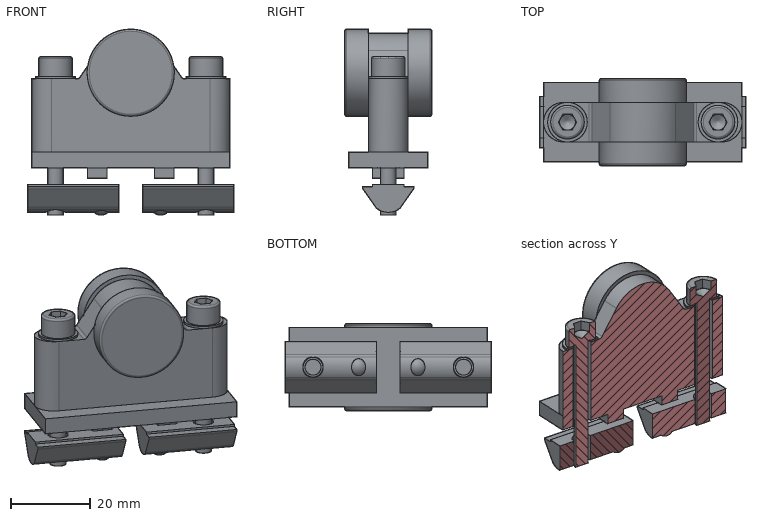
import cadquery as cq
import math


plate_length = 50.0
plate_width = 20.0
plate_thickness = 4.0
key_length = 5.0
key_width = 8.0
key_height = 2.6
key_inner_x = 6.0

block_width = 10.0
block_top_z = 22.5
hub_radius = 10.0
hub_center_z = 24.0
flank_angle = 34.0
flank_foot_fillet = 1.0
screw_hole_diameter = 5.5

disc_diameter = 22.0
disc_span = 22.0
disc_edge_fillet = 0.5

fastener_x = 19.0
washer_diameter = 10.0
washer_thickness = 0.5
washer_bore_diameter = 5.3
shank_diameter = 4.0
shank_tip_z = -11.9
head_diameter = 8.5
head_height = 5.05
head_edge_fillet = 0.5
socket_across_flats = 4.0
socket_depth = 2.5
drill_point_angle = 118.0

nut_outer_x = 26.0
nut_length = 23.0
nut_top_z = -4.15
nut_land_width = key_width
nut_land_height = 0.5
nut_width = 13.0
nut_lip_height = 0.45
nut_lip_fillet = 0.5
nut_keel_half_width = 2.95
nut_keel_radius = 5.0
nut_bottom_z = -11.2
nut_keel_fillet = 2.0
nut_bore_diameter = 5.0
ball_diameter = 5.0
ball_x = 7.5
ball_tip_z = shank_tip_z

washer_top_z = block_top_z + washer_thickness
head_top_z = washer_top_z + head_height
sides = (-1, 1)


def cylinder(diameter, bottom_z, top_z, x):
    """Vertical cylinder on the X axis line."""
    return cq.Workplane("XY", origin=(x, 0, bottom_z)).circle(diameter / 2).extrude(top_z - bottom_z)


def make_block():
    """Upright block: round-ended plan, flat shoulders and flanks tangent to the hub."""
    half_length = plate_length / 2
    angle = math.radians(flank_angle)
    shoulder_drop = hub_center_z - block_top_z
    foot_x = (hub_radius + shoulder_drop * math.sin(angle)) / math.cos(angle)
    tangent_x = hub_radius * math.cos(angle)
    tangent_z = hub_center_z + hub_radius * math.sin(angle)
    profile = (
        cq.Workplane("XZ", origin=(0, block_width / 2, 0))
        .moveTo(-half_length, 0)
        .lineTo(half_length, 0)
        .lineTo(half_length, block_top_z)
        .lineTo(foot_x, block_top_z)
        .lineTo(tangent_x, tangent_z)
        .threePointArc((0, hub_center_z + hub_radius), (-tangent_x, tangent_z))
        .lineTo(-foot_x, block_top_z)
        .lineTo(-half_length, block_top_z)
        .close()
        .extrude(block_width)
    )
    for side in sides:
        foot = cq.NearestToPointSelector((side * foot_x, 0, block_top_z))
        profile = profile.edges("|Y").edges(foot).fillet(flank_foot_fillet)
    plan = cq.Workplane("XY").slot2D(plate_length, block_width).extrude(hub_center_z + hub_radius)
    return profile.intersect(plan)


def make_discs():
    """Two discs as one full-width drum; its middle lies around the block and is cut away."""
    drum = (
        cq.Workplane("XZ", origin=(0, disc_span / 2, hub_center_z))
        .circle(disc_diameter / 2)
        .extrude(disc_span)
        .faces("<Y or >Y")
        .edges()
        .fillet(disc_edge_fillet)
    )
    gap = cq.Workplane("XY", origin=(0, 0, hub_center_z)).box(disc_diameter, block_width, disc_diameter)
    return drum.cut(gap)


def make_housing():
    """Base plate with keys, block and discs, bored for both screws."""
    housing = cq.Workplane("XY").rect(plate_length, plate_width).extrude(plate_thickness)
    key_x = key_inner_x + key_length / 2
    keys = (
        cq.Workplane("XY")
        .pushPoints([(side * key_x, 0) for side in sides])
        .rect(key_length, key_width)
        .extrude(-key_height)
    )
    housing = housing.union(keys).union(make_block()).union(make_discs())
    for side in sides:
        housing = housing.cut(cylinder(screw_hole_diameter, 0, block_top_z, side * fastener_x))
    return housing


def make_washer(side):
    """Flat washer on the block shoulder."""
    x = side * fastener_x
    washer = cylinder(washer_diameter, block_top_z, washer_top_z, x)
    return washer.cut(cylinder(washer_bore_diameter, block_top_z, washer_top_z, x))


def make_screw(side):
    """Cap screw with a hexagon socket that ends in a drill point."""
    x = side * fastener_x
    head = cylinder(head_diameter, washer_top_z, head_top_z, x).faces(">Z").edges().fillet(head_edge_fillet)
    socket_floor_z = head_top_z - socket_depth
    across_corners = socket_across_flats / math.cos(math.pi / 6)
    socket = cq.Workplane("XY", origin=(x, 0, socket_floor_z)).polygon(6, across_corners).extrude(socket_depth)
    point_radius = socket_across_flats / 2
    point_depth = point_radius / math.tan(math.radians(drill_point_angle / 2))
    drill_point = cq.Workplane(
        cq.Solid.makeCone(
            point_radius, 0, point_depth, pnt=cq.Vector(x, 0, socket_floor_z), dir=cq.Vector(0, 0, -1)
        )
    )
    shank = cylinder(shank_diameter, shank_tip_z, washer_top_z, x)
    return head.union(shank).cut(socket).cut(drill_point)


def make_nut(side):
    """Slot nut: stepped top, sloping sides, rounded keel and a ball standing out of the keel."""
    ledge_z = nut_top_z - nut_land_height
    lip_z = ledge_z - nut_lip_height
    keel_rise = nut_keel_radius - math.sqrt(nut_keel_radius**2 - nut_keel_half_width**2)
    keel_z = nut_bottom_z + keel_rise
    start_x = min(side * nut_outer_x, side * (nut_outer_x - nut_length))
    nut = (
        cq.Workplane("YZ", origin=(start_x, 0, 0))
        .moveTo(-nut_land_width / 2, nut_top_z)
        .lineTo(nut_land_width / 2, nut_top_z)
        .lineTo(nut_land_width / 2, ledge_z)
        .lineTo(nut_width / 2, ledge_z)
        .lineTo(nut_width / 2, lip_z)
        .lineTo(nut_keel_half_width, keel_z)
        .threePointArc((0, nut_bottom_z), (-nut_keel_half_width, keel_z))
        .lineTo(-nut_width / 2, lip_z)
        .lineTo(-nut_width / 2, ledge_z)
        .lineTo(-nut_land_width / 2, ledge_z)
        .close()
        .extrude(nut_length)
    )
    for edge_side in sides:
        keel = cq.NearestToPointSelector((side * ball_x, edge_side * nut_keel_half_width, keel_z))
        lip = cq.NearestToPointSelector((side * ball_x, edge_side * nut_width / 2, lip_z))
        nut = nut.edges("|X").edges(keel).fillet(nut_keel_fillet)
        nut = nut.edges("|X").edges(lip).fillet(nut_lip_fillet)
    ball_center = (side * ball_x, 0, ball_tip_z + ball_diameter / 2)
    ball = cq.Workplane("XY", origin=ball_center).sphere(ball_diameter / 2)
    return nut.union(ball).cut(cylinder(nut_bore_diameter, nut_bottom_z, nut_top_z, side * fastener_x))


housing = make_housing()
washers = [make_washer(side) for side in sides]
screws = [make_screw(side) for side in sides]
nuts = [make_nut(side) for side in sides]

result = cq.Compound.makeCompound([body.solids().val() for body in [housing, *washers, *screws, *nuts]])